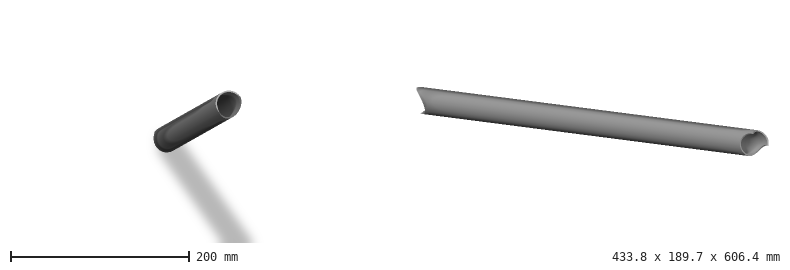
import cadquery as cq
import math

OUTER_DIAMETER = 30.0
WALL = 1.6
RUN_X_PER_Z = 0.7009
RUN_Y_PER_Z = -0.2667
MIDDLE = cq.Vector(6.85, -0.53, 0)
HEIGHT = 607.48

TOP_COPES = [
    (325.48, -1.03, 189.7, 25.8, 38.98),
    (302.54, 0.82, 61.5, -78.4, 15.43),
]
BOTTOM_COPES = [
    (-313.5, 7.74, 92.2, 18.8, 16.0),
    (-301.0, -8.12, 59.1, -18.7, 13.42),
]
COPE_LENGTH = 300.0

BLANK_LENGTH = 900.0
TRIM_WIDTH = 1600.0

slope = cq.Vector(RUN_X_PER_Z, RUN_Y_PER_Z, 1)
axis = slope.normalized()


def blank_tube():
    """Straight tube along the axis, with its tips trimmed level at the final height."""
    start = MIDDLE - axis * (BLANK_LENGTH / 2)
    section = cq.Workplane(cq.Plane(origin=start, normal=axis))
    radius = OUTER_DIAMETER / 2
    tube = section.circle(radius).circle(radius - WALL).extrude(BLANK_LENGTH)
    return tube.intersect(cq.Workplane().box(TRIM_WIDTH, TRIM_WIDTH, HEIGHT))


def cope_cutter(height, offset, heading, climb, radius):
    """Cylinder with the shape of a crossing tube."""
    heading = math.radians(heading)
    climb = math.radians(climb)
    direction = cq.Vector(
        math.cos(climb) * math.cos(heading),
        math.cos(climb) * math.sin(heading),
        math.sin(climb),
    )
    center = MIDDLE + slope * height + axis.cross(direction).normalized() * offset
    start = center - direction * (COPE_LENGTH / 2)
    return cq.Solid.makeCylinder(radius, COPE_LENGTH, start, direction)


def coped_tube():
    """Tube between the copes, without the scrap beyond them."""
    tube = blank_tube()
    for cope in TOP_COPES + BOTTOM_COPES:
        tube = tube.cut(cq.Workplane(obj=cope_cutter(*cope)))
    return max(tube.solids().vals(), key=lambda solid: solid.Volume())


result = cq.Workplane(obj=coped_tube())